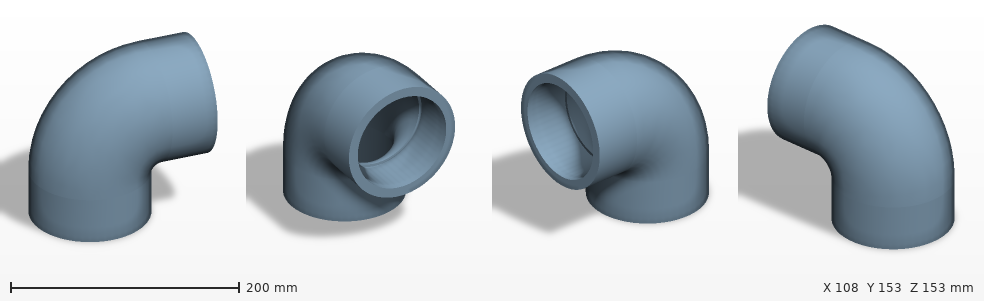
import cadquery as cq


outer_diameter = 108.0
socket_diameter = 90.0
bend_bore_diameter = 84.93
overall_length = 153.0
socket_length = 42.5

outer_radius = outer_diameter / 2
bend_radius = overall_length - outer_radius - socket_length


def bend(diameter):
    """Quarter torus joining the top of the lower leg to the start of the +Y leg."""
    return (
        cq.Workplane("XY", origin=(0, 0, -bend_radius))
        .circle(diameter / 2)
        .revolve(90, (0, bend_radius, 0), (-1, bend_radius, 0))
    )


def straight_legs(diameter):
    """Pair of cylinders running from the bend ends to the open ends."""
    lower_leg = (
        cq.Workplane("XY", origin=(0, 0, -bend_radius))
        .circle(diameter / 2)
        .extrude(-socket_length)
    )
    side_leg = (
        cq.Workplane("XZ", origin=(0, bend_radius, 0))
        .circle(diameter / 2)
        .extrude(-socket_length)
    )
    return lower_leg, side_leg


def elbow(bend_diameter, leg_diameter):
    """Bend with a straight leg on each end."""
    lower_leg, side_leg = straight_legs(leg_diameter)
    return bend(bend_diameter).union(lower_leg).union(side_leg)


body = elbow(outer_diameter, outer_diameter)
passage = elbow(bend_bore_diameter, socket_diameter)
result = body.cut(passage)